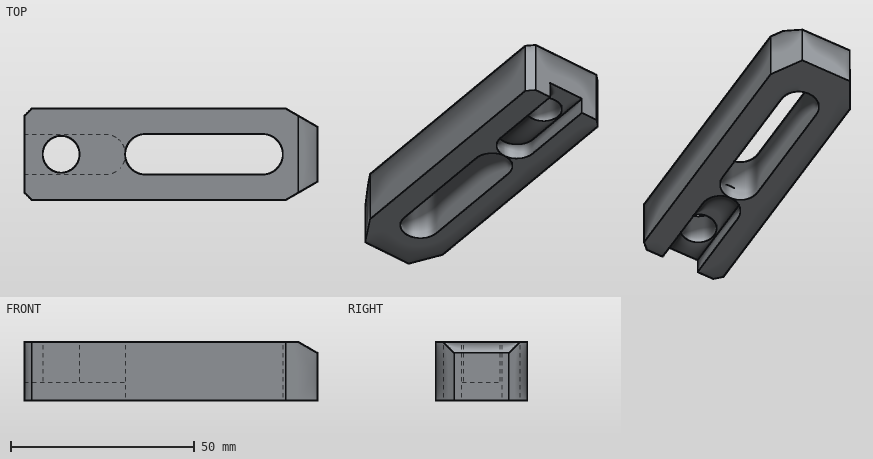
import cadquery as cq
import math

length = 80.0
width = 25.0
height = 16.0

heel_chamfer = 2.0

nose_width = 15.0
nose_drop = 3.0
nose_angle = math.radians(30)

hole_diameter = 10.0
hole_x = 10.0
slot_width = 11.0
slot_start_x = 27.5
slot_end_x = 70.5

groove_width = slot_width
groove_depth = 5.0


def make_body():
    """Bar with chamfered heel corners and a nose tapered in plan."""
    half_width = width / 2
    half_nose = nose_width / 2
    taper_x = length - (half_width - half_nose) / math.tan(nose_angle)
    return (
        cq.Workplane("XY")
        .moveTo(0, half_width - heel_chamfer)
        .lineTo(heel_chamfer, half_width)
        .lineTo(taper_x, half_width)
        .lineTo(length, half_nose)
        .lineTo(length, -half_nose)
        .lineTo(taper_x, -half_width)
        .lineTo(heel_chamfer, -half_width)
        .lineTo(0, -half_width + heel_chamfer)
        .close()
        .extrude(height)
    )


def make_nose_bevel():
    """Wedge removed from the top of the nose."""
    bevel_length = nose_drop / math.tan(nose_angle)
    return (
        cq.Workplane("XZ")
        .moveTo(length - bevel_length, height)
        .lineTo(length, height)
        .lineTo(length, height - nose_drop)
        .close()
        .extrude(width / 2, both=True)
    )


def make_hole():
    """Round through hole near the heel."""
    return cq.Workplane("XY").center(hole_x, 0).circle(hole_diameter / 2).extrude(height)


def make_slot():
    """Round-ended through slot for the clamping stud."""
    slot_centre_x = (slot_start_x + slot_end_x) / 2
    slot_length = slot_end_x - slot_start_x
    return cq.Workplane("XY").center(slot_centre_x, 0).slot2D(slot_length, slot_width).extrude(height)


def make_groove():
    """Underside groove, open at the heel, whose rounded inner end just touches the slot."""
    end_radius = groove_width / 2
    end_centre_x = slot_start_x - end_radius
    return (
        cq.Workplane("XY")
        .moveTo(0, -end_radius)
        .lineTo(end_centre_x, -end_radius)
        .threePointArc((slot_start_x, 0), (end_centre_x, end_radius))
        .lineTo(0, end_radius)
        .close()
        .extrude(groove_depth)
    )


result = (
    make_body()
    .cut(make_nose_bevel())
    .cut(make_hole())
    .cut(make_slot())
    .cut(make_groove())
)